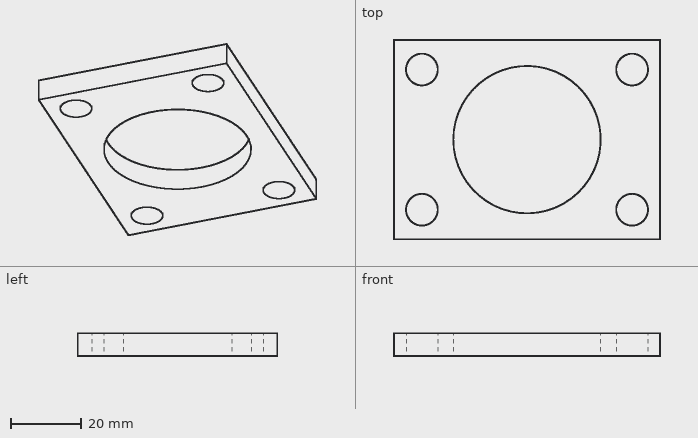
import cadquery as cq

plate_length = 76.0
plate_width = 57.0
plate_thickness = 6.6

bore_diameter = 42.0

bolt_hole_diameter = 9.0
bolt_spacing_x = 60.0
bolt_spacing_y = 40.0


def make_plate():
    """Plain plate centred on the Z axis, with its underside at Z = 0."""
    return cq.Workplane("XY").box(
        plate_length, plate_width, plate_thickness, centered=(True, True, False)
    )


def cut_bore(body):
    """Central through bore."""
    return body.faces(">Z").workplane().hole(bore_diameter)


def cut_bolt_holes(body):
    """Through holes on the corners of the bolt rectangle."""
    return (
        body.faces(">Z")
        .workplane(origin=(0, 0, 0))
        .rect(bolt_spacing_x, bolt_spacing_y, forConstruction=True)
        .vertices()
        .hole(bolt_hole_diameter)
    )


result = cut_bolt_holes(cut_bore(make_plate()))